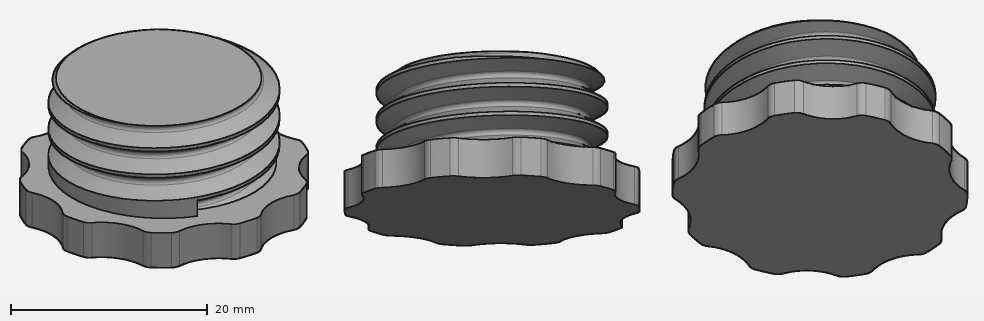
import cadquery as cq
import math

head_radius = 15.0
head_height = 4.0
lobe_count = 10
scallop_depth = 1.3
scallop_radius = 5.55
scallop_edge_round = 1.2

total_height = 14.0
stud_radius = 11.75
root_radius = 9.9
top_chamfer = 0.78
pitch = 3.0
crest_width = 0.4
flank_angle = 30.0
groove_start_height = 4.47
groove_turns = 3.6
cutter_overrun = 0.18


def make_head():
    """Disc with evenly spaced scallops, one of them centred on +X."""
    scallops = (
        cq.Workplane("XY")
        .polarArray(head_radius - scallop_depth + scallop_radius, 0, 360, lobe_count)
        .circle(scallop_radius)
        .extrude(head_height)
    )
    disc = cq.Workplane("XY").circle(head_radius).extrude(head_height)
    return disc.cut(scallops).edges("|Z").fillet(scallop_edge_round)


def make_thread_groove():
    """Right-handed V groove with a rounded root, swept along a helix."""
    slope = math.tan(math.radians(flank_angle))
    mouth_radius = stud_radius + cutter_overrun
    mouth_half = (pitch - crest_width) / 2 + cutter_overrun * slope
    vee_radius = mouth_radius - mouth_half / slope
    flank_sine = math.sin(math.radians(flank_angle))
    root_round = (root_radius - vee_radius) * flank_sine / (1 - flank_sine)
    tangent_half = root_round * math.cos(math.radians(flank_angle))
    tangent_radius = root_radius + root_round * (1 - flank_sine)
    helix = cq.Wire.makeHelix(pitch, pitch * groove_turns, root_radius)
    return (
        cq.Workplane("XZ")
        .moveTo(tangent_radius, -tangent_half)
        .lineTo(mouth_radius, -mouth_half)
        .lineTo(mouth_radius, mouth_half)
        .lineTo(tangent_radius, tangent_half)
        .threePointArc((root_radius, 0), (tangent_radius, -tangent_half))
        .close()
        .sweep(cq.Workplane(obj=helix), isFrenet=True)
        .translate((0, 0, groove_start_height))
    )


def make_stud():
    """Chamfered cylinder carrying the thread."""
    cylinder = cq.Workplane("XY").circle(stud_radius).extrude(total_height)
    chamfered_envelope = cylinder.faces(">Z").chamfer(top_chamfer)
    return cylinder.cut(make_thread_groove()).intersect(chamfered_envelope)


result = make_stud().union(make_head())